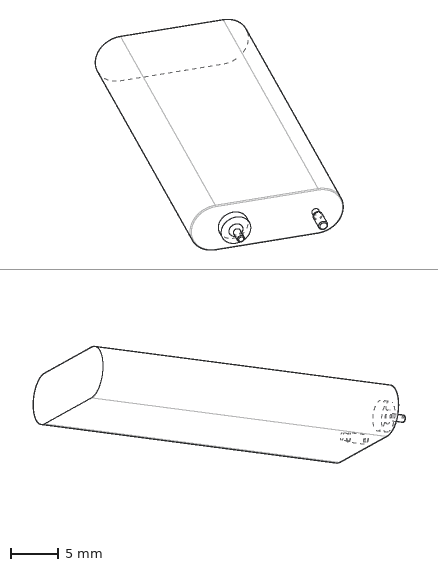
import cadquery as cq

TOTAL_LENGTH = 37.88
CASE_WIDTH = 17.0
CASE_HEIGHT = 5.6

TERMINAL_REACH = 2.9
CASE_LENGTH = TOTAL_LENGTH - TERMINAL_REACH
CASE_END_FILLET = 0.1

TIP_CHAMFER = 0.1

SLEEVE_TERMINAL_Y = 5.38
NECK_DIAMETER = 0.8
NECK_LENGTH = 0.8
SLEEVE_DIAMETER = 1.02

COLLAR_TERMINAL_Y = -3.75
COLLAR_DIAMETER = 3.3
COLLAR_LENGTH = 1.02
PIN_DIAMETER = 0.8
PIN_ROOT_CONE = 0.38


def end_plane(y):
    """Plane on the terminal end of the case, facing +X, centred at the given Y."""
    return cq.Workplane("YZ", origin=(CASE_LENGTH, y, 0))


def make_case():
    return (
        cq.Workplane("YZ")
        .slot2D(CASE_WIDTH, CASE_HEIGHT)
        .extrude(CASE_LENGTH)
        .faces(">X")
        .edges()
        .fillet(CASE_END_FILLET)
    )


def make_sleeve_terminal():
    neck = end_plane(SLEEVE_TERMINAL_Y).circle(NECK_DIAMETER / 2).extrude(NECK_LENGTH)
    sleeve = (
        end_plane(SLEEVE_TERMINAL_Y)
        .workplane(offset=NECK_LENGTH)
        .circle(SLEEVE_DIAMETER / 2)
        .extrude(TERMINAL_REACH - NECK_LENGTH)
        .faces(">X")
        .chamfer(TIP_CHAMFER)
    )
    return neck.union(sleeve)


def make_collar_terminal():
    collar = end_plane(COLLAR_TERMINAL_Y).circle(COLLAR_DIAMETER / 2).extrude(COLLAR_LENGTH)
    pin = (
        end_plane(COLLAR_TERMINAL_Y)
        .circle(PIN_DIAMETER / 2)
        .extrude(TERMINAL_REACH)
        .faces(">X")
        .chamfer(TIP_CHAMFER)
    )
    root_cone = cq.Workplane(cq.Solid.makeCone(
        PIN_DIAMETER / 2 + PIN_ROOT_CONE,
        PIN_DIAMETER / 2,
        PIN_ROOT_CONE,
        cq.Vector(CASE_LENGTH + COLLAR_LENGTH, COLLAR_TERMINAL_Y, 0),
        cq.Vector(1, 0, 0),
    ))
    return collar.union(root_cone).union(pin)


case = make_case()
sleeve_terminal = make_sleeve_terminal()
collar_terminal = make_collar_terminal()

result = cq.Compound.makeCompound([case.val(), sleeve_terminal.val(), collar_terminal.val()])